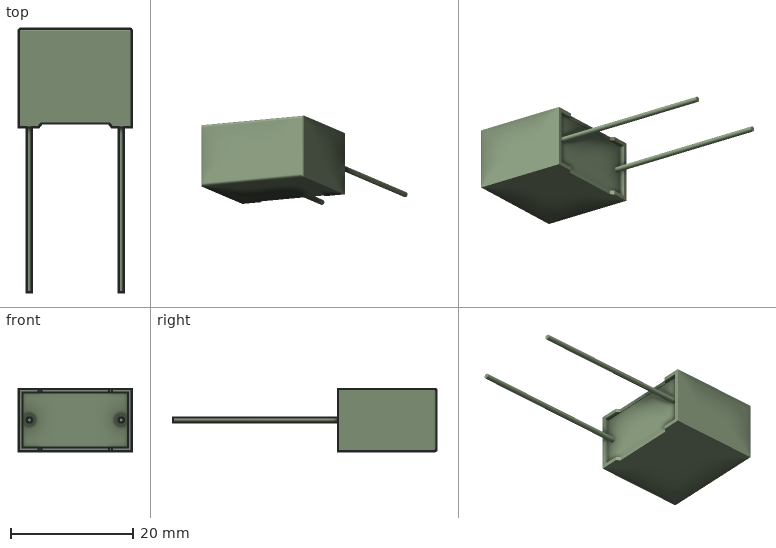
import cadquery as cq

total_length = 43.1
case_width = 18.5
case_height = 10.2
case_depth = 16.1
wall = 0.65

end_radius = 0.45

notch_depth = 0.6
notch_mouth_width = 12.0
notch_floor_width = 11.05

filler_recess = 0.75
lead_diameter = 0.85
lead_pitch = 15.0

open_end_y = 0.0
closed_end_y = open_end_y + case_depth
filler_face_y = open_end_y + filler_recess
lead_tip_y = closed_end_y - total_length
cavity_width = case_width - 2 * wall
cavity_height = case_height - 2 * wall
cavity_end_y = closed_end_y - wall


def block(width, height, start_y, end_y):
    """Box centred on X and Z, running along Y from start_y to end_y."""
    length = end_y - start_y
    return cq.Workplane("XY").box(width, length, height).translate((0, start_y + length / 2, 0))


def make_notch_cutter():
    """Tapered notch shape that passes through both wide walls."""
    return (
        cq.Workplane("XY")
        .polyline([
            (-notch_mouth_width / 2, open_end_y),
            (-notch_floor_width / 2, open_end_y + notch_depth),
            (notch_floor_width / 2, open_end_y + notch_depth),
            (notch_mouth_width / 2, open_end_y),
        ])
        .close()
        .extrude(case_height / 2, both=True)
    )


def make_case():
    """Box open at -Y, with a rounded closed end and notched rim."""
    outer = block(case_width, case_height, open_end_y, closed_end_y)
    rounded = outer.faces(">Y").edges().fillet(end_radius)
    cavity = block(cavity_width, cavity_height, open_end_y, cavity_end_y)
    return rounded.cut(cavity).cut(make_notch_cutter())


def make_filler():
    """Solid filling that sits a little below the rim of the case."""
    return block(cavity_width, cavity_height, filler_face_y, cavity_end_y)


def make_lead(x):
    """Round wire from the face of the filler to the tip."""
    return (
        cq.Workplane("XZ", origin=(x, filler_face_y, 0))
        .circle(lead_diameter / 2)
        .extrude(filler_face_y - lead_tip_y)
    )


case = make_case()
filler = make_filler()
leads = [make_lead(side * lead_pitch / 2) for side in (-1, 1)]

result = cq.Compound.makeCompound([case.val(), filler.val(), *[lead.val() for lead in leads]])